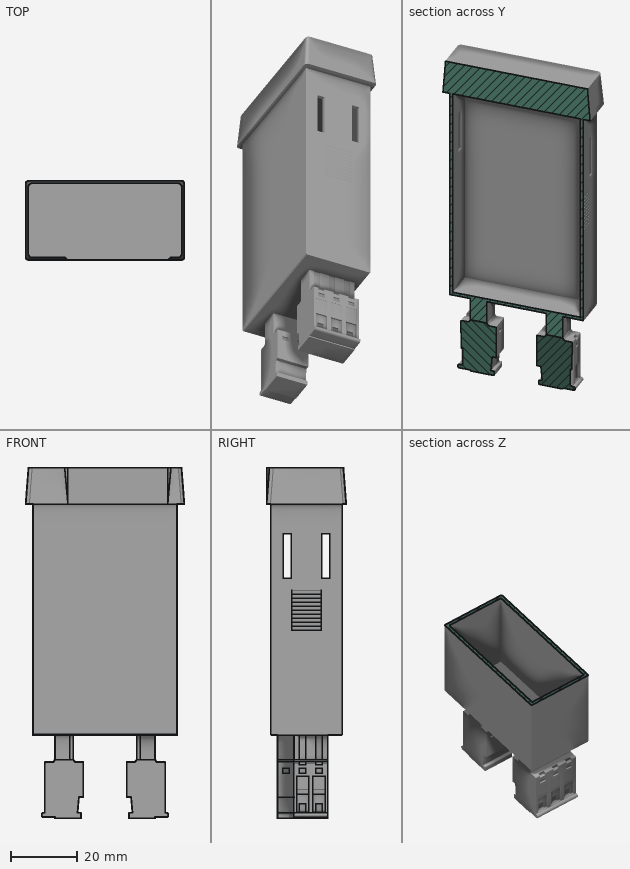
import cadquery as cq
import math


overall_length = 105.9

bezel_width = 48.0
bezel_depth = 24.0
bezel_height = 11.0
bezel_inset = 0.8
bezel_corner_radius = 1.1
bezel_top = 80.8
bezel_bottom = bezel_top - bezel_height
bezel_taper = math.degrees(math.atan2(bezel_inset, bezel_height))

pad_left = -11.2
pad_right = 19.0
pad_flare = 1.0

case_width = 43.6
case_depth = 21.7
wall_thickness = 1.2
case_chamfer = 0.3

slot_width = 2.3
slot_offset = 5.8
slot_bottom = 47.4
slot_top = 60.8

grip_width = 9.0
grip_top = 43.7
grip_height = 12.1
grip_count = 10
grip_pitch = grip_height / grip_count
grip_depth = 0.08

left_poles = 3
right_poles = 2
pole_pitch = 5.0
end_margin = 2.6
terminal_back = 6.5
keyway_width = 2.0

header_inner = 9.5
header_outer = 15.1
header_length = 7.4
keyway_depth = 0.2
rebate_width = 1.2
rebate_depth = 0.1

plug_inner = 6.6
plug_outer = 18.2
plug_bottom = bezel_top - overall_length
shoulder_z = -8.0
shoulder_run = 0.4
shoulder_radius = 0.4
relief_top = -18.7
relief_upper_x = 7.8
relief_lower_x = 8.3
lip_top = -23.4
lip_inner = 7.2
lip_edge_radius = 0.3
lip_outer = 19.2
lip_bottom = -24.8
lip_radius = (lip_top - lip_bottom) / 2

notch_bottom = -9.0
notch_depth = 1.0
window_top = -10.1
window_bottom = -11.4
window_depth = 0.4
entry_width = 3.7
entry_top = -12.4
entry_ramp_top = -16.4
entry_ramp_bottom = -17.8
entry_upper_depth = 0.1
entry_ramp_depth = 0.19
entry_lower_depth = 0.7
entry_bottom = -23.3
latch_top = -20.8
latch_depth = 1.3


def box(x_range, y_range, z_range):
    """A box between two limits along each axis."""
    (x0, x1), (y0, y1), (z0, z1) = x_range, y_range, z_range
    return cq.Workplane("XY").box(x1 - x0, y1 - y0, z1 - z0, centered=False).translate((x0, y0, z0))


def side_prism(points, y_middle, width):
    """An outline in the XZ plane, extruded along Y about y_middle."""
    return cq.Workplane("XZ", origin=(0, y_middle, 0)).polyline(points).close().extrude(width / 2, both=True)


def pole_positions(pole_count):
    """The middle of each pole along Y."""
    return [terminal_back - end_margin - i * pole_pitch for i in range(pole_count)]


def terminal_width(pole_count):
    """The length of a connector along Y."""
    return 2 * end_margin + (pole_count - 1) * pole_pitch


def mirrored(body):
    """The body's mirror image on the other side of X = 0."""
    return body.mirror("YZ")


def make_bezel():
    bezel = (
        cq.Workplane("XY", origin=(0, 0, bezel_bottom))
        .rect(bezel_width, bezel_depth)
        .extrude(bezel_height, taper=bezel_taper)
        .edges("not(|X or |Y)")
        .fillet(bezel_corner_radius)
    )
    pad_front = -bezel_depth / 2
    pad_root = pad_front + bezel_inset
    pad_back = pad_root + bezel_inset
    pad = (
        cq.Workplane("XY", origin=(0, 0, bezel_bottom))
        .moveTo(pad_left, pad_front)
        .lineTo(pad_right, pad_front)
        .lineTo(pad_right + pad_flare, pad_root)
        .lineTo(pad_right + pad_flare, pad_back)
        .lineTo(pad_left - pad_flare, pad_back)
        .lineTo(pad_left - pad_flare, pad_root)
        .close()
        .extrude(bezel_height)
    )
    return bezel.union(pad)


def make_grip_cutter():
    """Wedges that deepen downwards into the case's -X side."""
    face = -case_width / 2
    cutter = cq.Workplane("XY")
    for i in range(grip_count):
        top = grip_top - i * grip_pitch
        bottom = top - grip_pitch
        wedge = [(face, top), (face + grip_depth, bottom), (face, bottom)]
        cutter = cutter.add(side_prism(wedge, 0, grip_width))
    return cutter.combine()


def make_header(pole_count):
    """A header on the -X side, with a keyway down its outer side for each pole."""
    terminal_front = terminal_back - terminal_width(pole_count)
    header = box(
        (-header_outer, -header_inner),
        (terminal_front, terminal_back),
        (-header_length, 0),
    )
    rebate = box(
        (-header_inner - rebate_width, -header_inner),
        (terminal_front, terminal_front + rebate_depth),
        (-header_length, 0),
    )
    header = header.cut(rebate)
    for y in pole_positions(pole_count):
        keyway = box(
            (-header_outer, -header_outer + keyway_depth),
            (y - keyway_width / 2, y + keyway_width / 2),
            (-header_length, 0),
        )
        header = header.cut(keyway)
    return header


def make_housing():
    case = (
        cq.Workplane("XY")
        .rect(case_width, case_depth)
        .extrude(bezel_bottom)
        .edges("<Z and |X")
        .chamfer(case_chamfer)
    )
    cavity = (
        cq.Workplane("XY", origin=(0, 0, wall_thickness))
        .rect(case_width - 2 * wall_thickness, case_depth - 2 * wall_thickness)
        .extrude(bezel_bottom - wall_thickness)
    )
    housing = case.cut(cavity).union(make_bezel())
    for y in (-slot_offset, slot_offset):
        slot = box(
            (-case_width / 2, case_width / 2),
            (y - slot_width / 2, y + slot_width / 2),
            (slot_bottom, slot_top),
        )
        housing = housing.cut(slot)
    grip = make_grip_cutter()
    housing = housing.cut(grip).cut(mirrored(grip))
    left_header = make_header(left_poles)
    right_header = mirrored(make_header(right_poles))
    return housing.union(left_header).union(right_header)


def make_plug_block(pole_count):
    """A plug on the -X side without its recesses."""
    width = terminal_width(pole_count)
    return (
        cq.Workplane("XZ", origin=(0, terminal_back, 0))
        .moveTo(-header_outer, -header_length)
        .lineTo(-header_inner, -header_length)
        .lineTo(-header_inner + shoulder_run, shoulder_z)
        .lineTo(-plug_inner, shoulder_z)
        .lineTo(-plug_inner, relief_top)
        .lineTo(-relief_upper_x, relief_top)
        .lineTo(-relief_lower_x, lip_top)
        .lineTo(-lip_inner - lip_edge_radius, lip_top)
        .radiusArc((-lip_inner, lip_top - lip_edge_radius), lip_edge_radius)
        .lineTo(-lip_inner, plug_bottom)
        .lineTo(-header_outer, plug_bottom)
        .lineTo(-header_outer, lip_bottom)
        .lineTo(-lip_outer + lip_radius, lip_bottom)
        .threePointArc((-lip_outer, lip_bottom + lip_radius), (-lip_outer + lip_radius, lip_top))
        .lineTo(-plug_outer, lip_top)
        .lineTo(-plug_outer, shoulder_z - shoulder_radius)
        .radiusArc((-plug_outer + shoulder_radius, shoulder_z), shoulder_radius)
        .lineTo(-header_outer - shoulder_run, shoulder_z)
        .close()
        .extrude(width)
    )


def make_pole_cutters(y):
    """The notch, windows and wire entry of one pole."""

    def recess(x_start, depth, bottom, top):
        y_range = (y - keyway_width / 2, y + keyway_width / 2)
        return box((x_start, x_start + depth), y_range, (bottom, top))

    notch = recess(-plug_outer, notch_depth, notch_bottom, shoulder_z)
    outer_window = recess(-plug_outer, window_depth, window_bottom, window_top)
    inner_window = recess(-plug_inner - window_depth, window_depth, window_bottom, window_top)
    latch = recess(-plug_outer, latch_depth, entry_bottom, latch_top)
    entry_outline = [
        (-plug_outer, entry_top),
        (-plug_outer + entry_upper_depth, entry_top),
        (-plug_outer + entry_upper_depth, entry_ramp_top),
        (-plug_outer + entry_ramp_depth, entry_ramp_bottom),
        (-plug_outer + entry_lower_depth, entry_ramp_bottom),
        (-plug_outer + entry_lower_depth, entry_bottom),
        (-plug_outer, entry_bottom),
    ]
    entry = side_prism(entry_outline, y, entry_width)
    return [notch, outer_window, inner_window, entry, latch]


def make_plug(pole_count):
    """A plug on the -X side, filling the length of its header."""
    plug = make_plug_block(pole_count)
    for y in pole_positions(pole_count):
        for cutter in make_pole_cutters(y):
            plug = plug.cut(cutter)
    return plug


housing = make_housing()
left_plug = make_plug(left_poles)
right_plug = mirrored(make_plug(right_poles))

result = cq.Compound.makeCompound([housing.val(), left_plug.val(), right_plug.val()])